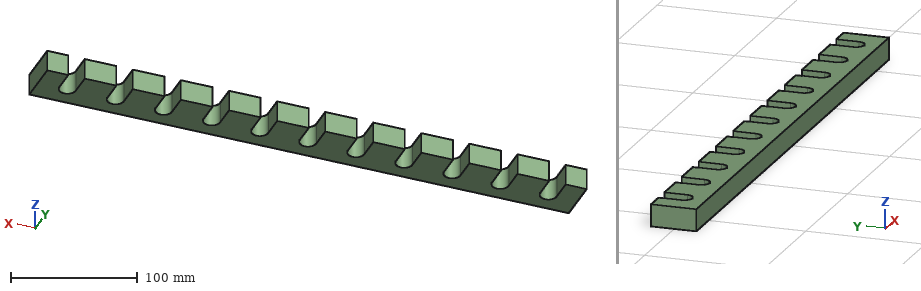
import cadquery as cq

length = 460.0
width = 38.0
thickness = 18.5

slot_count = 11
slot_pitch = 41.0
slot_width = 14.0
slot_depth = 26.0

slot_radius = slot_width / 2
edge_y = width / 2
slot_arc_y = edge_y - slot_depth + slot_radius


def make_bar():
    """Plain rectangular bar centred on the origin."""
    return cq.Workplane("XY").box(length, width, thickness)


def make_slot(center_x):
    """Cutter for one slot: straight sides ending in a half circle."""
    left_x = center_x - slot_radius
    right_x = center_x + slot_radius
    return (
        cq.Workplane("XY")
        .workplane(offset=-thickness / 2)
        .moveTo(left_x, edge_y)
        .lineTo(left_x, slot_arc_y)
        .threePointArc((center_x, edge_y - slot_depth), (right_x, slot_arc_y))
        .lineTo(right_x, edge_y)
        .close()
        .extrude(thickness)
    )


def cut_slots(bar):
    """Cut the full row of slots through the bar."""
    first_x = -slot_pitch * (slot_count - 1) / 2
    for index in range(slot_count):
        bar = bar.cut(make_slot(first_x + index * slot_pitch))
    return bar


result = cut_slots(make_bar())